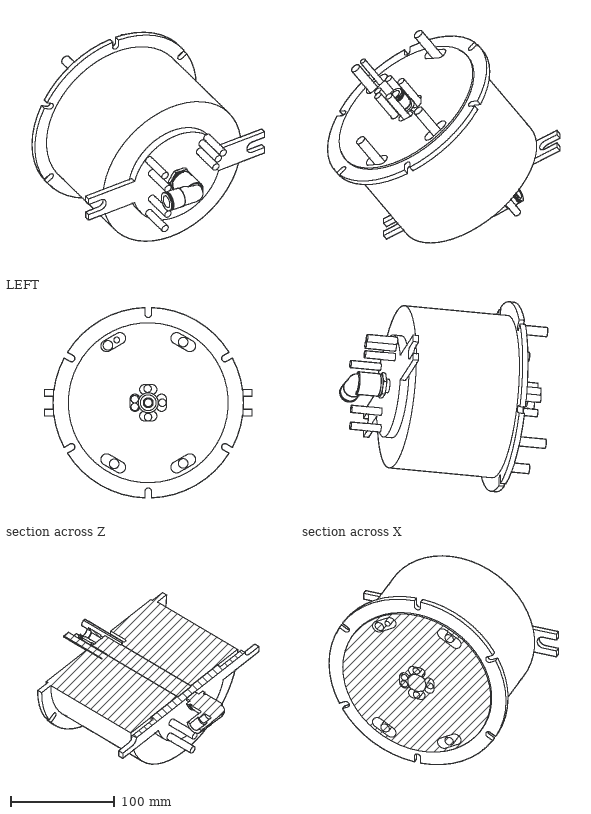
import cadquery as cq


spigot_radius = 77.6
spigot_height = 2.0
flange_radius = 92.5
flange_thickness = 5.5
drum_radius = 79.2
drum_length = 103.0
front_face = -spigot_height
drum_end = flange_thickness + drum_length

mount_slot_count = 6
mount_slot_width = 6.2
mount_slot_floor = 82.9

cable_slot_depth = 20.2
outer_slot_angles = (60, 120, 240, 300)
outer_slot_offset = 68.0
outer_slot_length = 26.0
outer_slot_width = 11.0
inner_slot_angles = (0, 90, 180, 270)
inner_slot_offset = 13.0
inner_slot_length = 16.7
inner_slot_width = 9.5

wire_length = 29.8
wire_radius = 3.6
thick_wire_radius = 4.6
thin_wire_radius = 2.8
front_thick_wires = [(39.1, 55.6), (-33.9, 58.9), (33.0, -59.3), (-33.9, -58.9)]
front_thin_wires = [(30.6, 60.9)]
front_inner_wires = [(13.1, 3.5), (13.1, -4.0), (-13.7, 0.0), (0.6, 13.7), (0.2, -14.0)]
rear_wires = [
    (-31.9, 32.9), (-28.6, 15.7), (-28.6, -15.5), (-31.9, -31.9),
    (34.7, 33.5), (29.0, 28.6), (26.2, 19.8),
]

plate_radius = 49.8
plate_thickness = 8.5
plate_face = drum_end + plate_thickness
arm_span = 201.5
arm_width = 26.0
arm_thickness = 5.5
fork_slot_width = 12.3
fork_slot_floor = 80.6

shaft_radius = 9.7

fitting_radius = 7.7
fitting_groove_radius = 6.7
fitting_tip = -21.2
fitting_lip_end = -19.2
fitting_collar_start = -17.1
fitting_collar_end = -5.0
fitting_bore_radius = 4.8
fitting_bore_depth = 6.0
fitting_passage_radius = 3.8

elbow_tilt = 3.6
neck_radius = 6.7
hex_start = 121.4
hex_thickness = 3.2
hex_across_corners = 25.2
hex_chamfer = 0.6
hex_end = hex_start + hex_thickness
collar_radius = 10.0
barrel_radius = 11.0
barrel_start = 126.6
barrel_end = 147.8
cone_end = 148.5
bend_radius = 8.9
outlet_sleeve_radius = 9.3
outlet_sleeve_start = 15.7
outlet_groove_start = 28.8
outlet_groove_end = 30.0
outlet_end = 31.5
outlet_groove_radius = 8.9
outlet_bore_radius = 5.8
outlet_bore_depth = 12.0
outlet_passage_radius = 4.0
outlet_passage_depth = 20.2


def disc(start, end, radius):
    """Cylinder on the drum axis from X = start to X = end."""
    return cq.Workplane("YZ", origin=(start, 0, 0)).circle(radius).extrude(end - start)


def add_wires(body, start, end, centres, radius):
    """Join round wires, parallel to X at the given (Y, Z) centres, to the body."""
    for y, z in centres:
        body = body.union(disc(start, end, radius).translate((0, y, z)))
    return body


def cut_cable_slots(body, angles, offset, length, width):
    """Sink tangential obround slots into the front face, at angles measured from +Y."""
    slot = (
        cq.Workplane("YZ", origin=(front_face, 0, 0))
        .center(offset, 0)
        .slot2D(length, width, angle=90)
        .extrude(cable_slot_depth)
    )
    for angle in angles:
        body = body.cut(slot.rotate((0, 0, 0), (1, 0, 0), angle))
    return body


def radial_notch(start, end, floor, rim, width):
    """Round-ended cutter that opens at the rim in the +Z direction."""
    bend = floor + width / 2
    notch = (
        cq.Workplane("YZ", origin=(start, 0, 0))
        .moveTo(-width / 2, rim)
        .lineTo(-width / 2, bend)
        .threePointArc((0, floor), (width / 2, bend))
        .lineTo(width / 2, rim)
        .close()
    )
    return notch.extrude(end - start)


def make_housing():
    body = disc(front_face, 0, spigot_radius)
    body = body.union(disc(0, flange_thickness, flange_radius))
    body = body.union(disc(flange_thickness, drum_end, drum_radius))
    notch = radial_notch(0, flange_thickness, mount_slot_floor, flange_radius, mount_slot_width)
    for index in range(mount_slot_count):
        body = body.cut(notch.rotate((0, 0, 0), (1, 0, 0), index * 360 / mount_slot_count))
    body = cut_cable_slots(body, outer_slot_angles, outer_slot_offset, outer_slot_length, outer_slot_width)
    body = cut_cable_slots(body, inner_slot_angles, inner_slot_offset, inner_slot_length, inner_slot_width)
    slot_floor = front_face + cable_slot_depth
    wire_tip = front_face - wire_length
    body = add_wires(body, wire_tip, slot_floor, front_thick_wires, thick_wire_radius)
    body = add_wires(body, wire_tip, slot_floor, front_thin_wires, thin_wire_radius)
    body = add_wires(body, wire_tip, slot_floor, front_inner_wires, wire_radius)
    return body.cut(disc(front_face, drum_end, shaft_radius))


def make_plate():
    body = disc(drum_end, plate_face, plate_radius)
    arms = (
        cq.Workplane("YZ", origin=(plate_face, 0, 0))
        .rect(arm_span, arm_width)
        .extrude(-arm_thickness)
    )
    arm_start = plate_face - arm_thickness
    notch = radial_notch(arm_start, plate_face, fork_slot_floor, arm_span / 2, fork_slot_width)
    for angle in (90, -90):
        arms = arms.cut(notch.rotate((0, 0, 0), (1, 0, 0), angle))
    body = body.union(arms)
    return add_wires(body, plate_face, plate_face + wire_length, rear_wires, wire_radius)


def make_shaft():
    return disc(front_face, drum_end, shaft_radius)


def make_straight_fitting():
    body = disc(fitting_tip, front_face, fitting_groove_radius)
    body = body.union(disc(fitting_tip, fitting_lip_end, fitting_radius))
    body = body.union(disc(fitting_collar_start, fitting_collar_end, fitting_radius))
    body = body.cut(disc(fitting_tip, fitting_tip + fitting_bore_depth, fitting_bore_radius))
    return body.cut(disc(fitting_tip, front_face, fitting_passage_radius))


def make_hexagon():
    """Hexagon nut with a corner toward -Y and its corners chamfered on both faces."""
    corner_radius = hex_across_corners / 2
    nut = (
        cq.Workplane("YZ", origin=(hex_start, 0, 0))
        .polygon(6, hex_across_corners)
        .extrude(hex_thickness)
    )
    return nut.intersect(disc(hex_start, hex_end, corner_radius).edges().chamfer(hex_chamfer))


def outlet_cylinder(start, end, radius):
    """Cylinder along the outlet, whose axis points in -Y from the bend."""
    return cq.Workplane("XZ", origin=(cone_end, -start, 0)).circle(radius).extrude(end - start)


def make_elbow():
    body = disc(plate_face, hex_start, neck_radius).union(make_hexagon())
    body = body.union(disc(hex_end, barrel_start, collar_radius))
    body = body.union(disc(barrel_start, barrel_end, barrel_radius))
    cone = (
        cq.Workplane("YZ", origin=(barrel_end, 0, 0))
        .circle(collar_radius)
        .workplane(offset=cone_end - barrel_end)
        .circle(bend_radius)
        .loft()
    )
    body = body.union(cone)
    body = body.union(cq.Workplane("XY", origin=(cone_end, 0, 0)).sphere(bend_radius))
    body = body.union(outlet_cylinder(0, outlet_sleeve_start, bend_radius))
    body = body.union(outlet_cylinder(outlet_sleeve_start, outlet_groove_start, outlet_sleeve_radius))
    body = body.union(outlet_cylinder(outlet_groove_start, outlet_groove_end, outlet_groove_radius))
    body = body.union(outlet_cylinder(outlet_groove_end, outlet_end, outlet_sleeve_radius))
    body = body.cut(outlet_cylinder(outlet_end - outlet_bore_depth, outlet_end, outlet_bore_radius))
    body = body.cut(outlet_cylinder(outlet_end - outlet_passage_depth, outlet_end, outlet_passage_radius))
    return body.rotate((0, 0, 0), (1, 0, 0), -elbow_tilt)


housing = make_housing()
plate = make_plate()
shaft = make_shaft()
straight_fitting = make_straight_fitting()
elbow = make_elbow()

result = cq.Compound.makeCompound(
    [housing.val(), plate.val(), shaft.val(), straight_fitting.val(), elbow.val()]
)